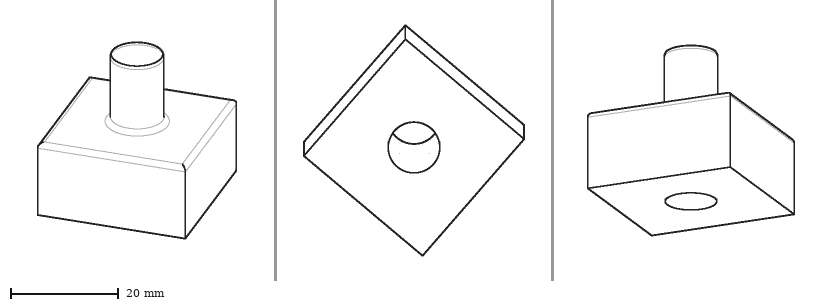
import cadquery as cq
import math

base_side = 29.0
total_height = 29.0
base_height = 15.02
tube_radius = 5.0
wall_thickness = 0.2
round_radius = 1.0

bore_radius = tube_radius - wall_thickness

rim_rise = math.sqrt(round_radius**2 - (round_radius - wall_thickness) ** 2)
uncut_height = total_height - rim_rise + round_radius


def make_base():
    """Square block with its upper edges rounded."""
    block = cq.Workplane("XY").box(base_side, base_side, base_height, centered=(True, True, False))
    return block.faces(">Z").edges().fillet(round_radius)


def add_tube(base):
    """Round post on the block, filleted at its foot and rounded at its rim."""
    post = cq.Workplane("XY").circle(tube_radius).extrude(uncut_height)
    body = base.union(post)
    body = body.faces(">Z").edges().fillet(round_radius)
    foot_edge = body.faces("|Z").edges("%CIRCLE").edges(cq.NearestToPointSelector((0, 0, base_height)))
    return foot_edge.fillet(round_radius)


def cut_bore(body):
    """Straight bore through the tube and the block."""
    bore = cq.Workplane("XY").circle(bore_radius).extrude(uncut_height)
    return body.cut(bore)


result = cut_bore(add_tube(make_base()))